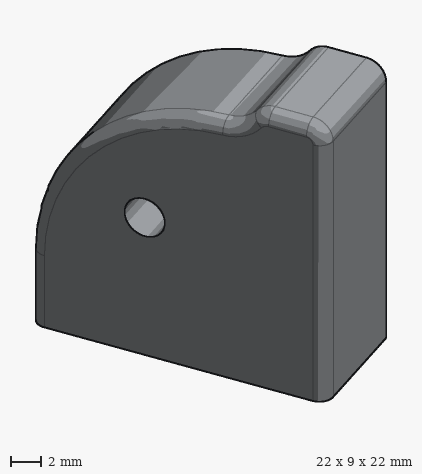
import cadquery as cq
import math

width = 22.0
depth = 9.0
height = 22.0

side_height = 5.76
arc_radius = 14.56
blend_radius = 2.8
left_corner_radius = 1.7
right_corner_radius = 1.5
crest_start = 17.69

edge_radius = 1.01
hole_diameter = 3.0
hole_x = 8.5
hole_z = 11.0


def point_toward(start, end, distance):
    """Point at a given distance from start on the line to end."""
    fraction = distance / math.dist(start, end)
    return (start[0] + fraction * (end[0] - start[0]), start[1] + fraction * (end[1] - start[1]))


def arc_middle(center, radius, start, end):
    """Middle point of the minor arc from start to end."""
    chord_middle = ((start[0] + end[0]) / 2, (start[1] + end[1]) / 2)
    return point_toward(center, chord_middle, radius)


def tangent_circle_center(first, first_distance, second, second_distance):
    """Upper intersection of two circles, with the first center left of the second."""
    span = math.dist(first, second)
    along = (first_distance**2 - second_distance**2 + span**2) / (2 * span)
    across = math.sqrt(first_distance**2 - along**2)
    ux = (second[0] - first[0]) / span
    uz = (second[1] - first[1]) / span
    return (first[0] + along * ux - across * uz, first[1] + along * uz + across * ux)


arc_center = (arc_radius, side_height)
left_corner_center = (crest_start, height - left_corner_radius)
right_corner_center = (width - right_corner_radius, height - right_corner_radius)
blend_center = tangent_circle_center(
    arc_center, arc_radius + blend_radius,
    left_corner_center, left_corner_radius + blend_radius,
)

arc_start = (0, side_height)
arc_end = point_toward(arc_center, blend_center, arc_radius)
blend_end = point_toward(left_corner_center, blend_center, left_corner_radius)
crest_left = (crest_start, height)
crest_right = (width - right_corner_radius, height)
right_side_top = (width, height - right_corner_radius)

body = (
    cq.Workplane("XZ")
    .moveTo(0, 0)
    .lineTo(*arc_start)
    .threePointArc(arc_middle(arc_center, arc_radius, arc_start, arc_end), arc_end)
    .threePointArc(arc_middle(blend_center, blend_radius, arc_end, blend_end), blend_end)
    .threePointArc(arc_middle(left_corner_center, left_corner_radius, blend_end, crest_left), crest_left)
    .lineTo(*crest_right)
    .threePointArc(
        arc_middle(right_corner_center, right_corner_radius, crest_right, right_side_top), right_side_top
    )
    .lineTo(width, 0)
    .close()
    .extrude(-depth)
)

front_outline = body.faces("<Y").edges("not <Z")
body = body.newObject(front_outline.vals()).fillet(edge_radius)

hole = (
    cq.Workplane("XZ")
    .center(hole_x, hole_z)
    .circle(hole_diameter / 2)
    .extrude(-depth)
)

result = body.cut(hole)